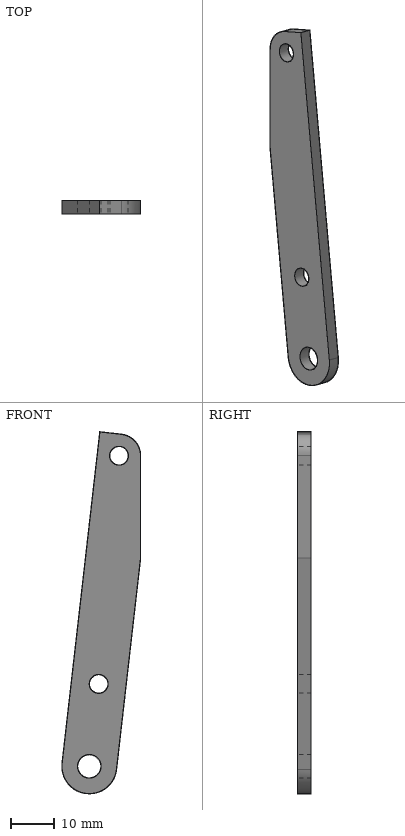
import cadquery as cq
import math

total_height = 83.5
total_width = 18.2
thickness = 3.2

lean_angle = 6.5
pivot_end_radius = 6.35
tip_radius = 5.0
pivot_hole_diameter = 5.3
small_hole_diameter = 4.25
middle_hole_distance = 19.1

lean = math.radians(lean_angle)
lean_sin = math.sin(lean)
lean_cos = math.cos(lean)


def along_arm(across, along):
    """Point given across and along the leaning arm, as (x, z)."""
    return (across * lean_cos + along * lean_sin, along * lean_cos - across * lean_sin)


right_side = total_width - pivot_end_radius
top_z = total_height - pivot_end_radius
arm_length = (top_z - pivot_end_radius * lean_sin) / lean_cos

tip_x = right_side - tip_radius
tip_z = (arm_length - tip_radius - tip_x * lean_sin) / lean_cos
tip_arc_start = (tip_x + tip_radius * lean_sin, tip_z + tip_radius * lean_cos)
mid_angle = (math.pi / 2 - lean) / 2
tip_arc_middle = (tip_x + tip_radius * math.cos(mid_angle), tip_z + tip_radius * math.sin(mid_angle))

bend_z = (right_side * lean_cos - pivot_end_radius) / lean_sin

plate_plane = cq.Workplane("XZ", origin=(0, thickness / 2, 0))

plate = (
    plate_plane
    .moveTo(*along_arm(-pivot_end_radius, 0))
    .lineTo(*along_arm(-pivot_end_radius, arm_length))
    .lineTo(*tip_arc_start)
    .threePointArc(tip_arc_middle, (right_side, tip_z))
    .lineTo(right_side, bend_z)
    .lineTo(*along_arm(pivot_end_radius, 0))
    .threePointArc(along_arm(0, -pivot_end_radius), along_arm(-pivot_end_radius, 0))
    .close()
    .extrude(thickness)
)

pivot_hole = plate_plane.circle(pivot_hole_diameter / 2).extrude(thickness)
small_holes = (
    plate_plane
    .pushPoints([along_arm(0, middle_hole_distance), (tip_x, tip_z)])
    .circle(small_hole_diameter / 2)
    .extrude(thickness)
)

result = plate.cut(pivot_hole).cut(small_holes)